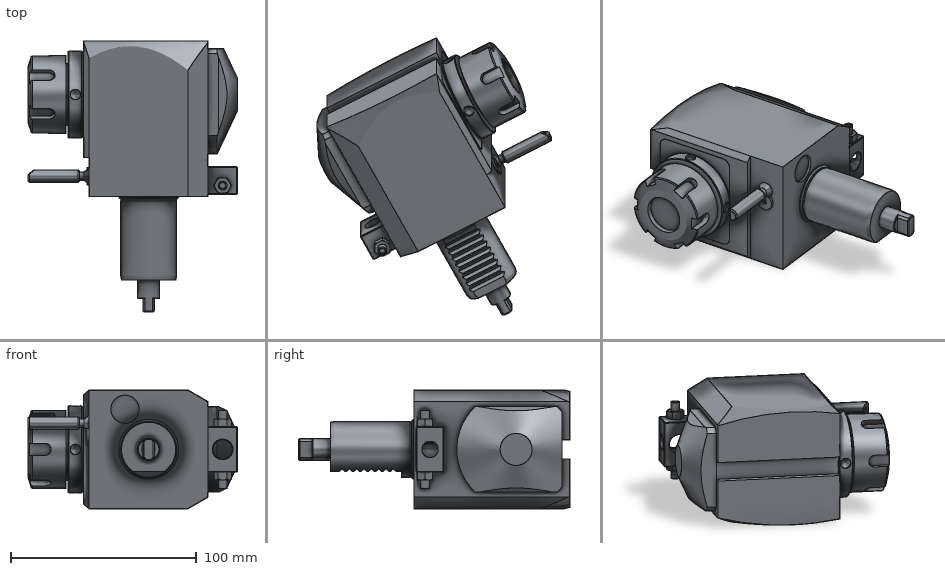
import cadquery as cq
import math


OVERALL_LENGTH = 146.0

BODY_HALF = 32.0
BODY_LENGTH = 84.0
NOSE_FACE_X = -35.0
NOSE_START_Y = 21.0
NOSE_CHAMFER_Z = 2.6
REAR_CHAMFER_X = 10.8
REAR_CHAMFER_Z = 6.3
CROWN_X = -10.0
CROWN_RADIUS = 154.8
CROWN_DROP = 0.7
CROWN_SLOPE = 0.24
BACK_SLOT_WIDTH = 10.2
BACK_SLOT_DEPTH = 4.1
PLUG_X = -12.7
PLUG_Z = 21.6
PLUG_RADIUS = 7.6
PLUG_DEPTH = 1.5

SHANK_DIAMETER = 30.1
SHANK_LENGTH = 45.0
SHANK_TIP_LENGTH = 2.2
SHANK_TIP_TAPER = 0.5
SEAL_RADIUS = 16.0
SEAL_RIM = 0.5
SEAL_LENGTH = 1.3
SEAL_GROOVE_END = 2.2
SEAL_GROOVE_DEPTH = 0.1
FLAT_Z = -11.8
FLAT_START_Y = -6.5
TOOTH_COUNT = 8
TOOTH_PITCH = 4.0
FIRST_TOOTH_Y = -11.1
TOOTH_DEPTH = 1.3
TOOTH_HALF_WIDTH = 1.6
TANG_DIAMETER = 12.0
TANG_TIP_Y = BODY_LENGTH - OVERALL_LENGTH
TANG_FLAT_START_Y = -54.9
TANG_WIDTH = 6.1
TANG_FLAT_HEIGHT = 8.6
TANG_RIDGE_WIDTH = 3.5
TANG_CHAMFER = 0.6
TANG_SHOULDER_CHAMFER = 0.5

SPINDLE_Y = 55.0
NUT_RADIUS = 21.0
NUT_FACE_X = -65.0
NUT_FACE_RADIUS = 15.0
NUT_CONE_LENGTH = 1.8
NUT_EDGE_LENGTH = 0.7
NUT_EDGE_DROP = 0.5
NUT_BACK_X = -44.5
NUT_BORE_RADIUS = 10.4
NUT_BORE_DEPTH = 2.9
NECK_RADIUS = 16.6
RING_RADIUS = 23.5
RING_FRONT_X = -43.4
RING_BACK_X = -35.8
RING_CHAMFER = 0.5
COLLAR_RADIUS = 22.9
SLOT_COUNT = 6
FIRST_SLOT_ANGLE = 90
UPPER_SLOT_ANGLES = (30, 330)
SLOT_WIDTH = 6.4
SLOT_END_X = -52.5
UPPER_SLOT_END_X = -50.5
SLOT_FLOOR_RADIUS = 17.5
RING_HOLE_COUNT = 4
RING_HOLE_X = -39.4
RING_HOLE_RADIUS = 2.8
RING_HOLE_DEPTH = 1.5
RING_HOLE_CONE = 1.6
PLATE_LENGTH = 45.1
PLATE_HEIGHT = 53.1
PLATE_CORNER = 4.4
PLATE_THICKNESS = 0.1

PIPE_Y = 11.1
PIPE_Z = 14.2
PIPE_RADIUS = 3.4
PIPE_BACK_X = -37.2
PIPE_CHAMFER = 0.7
PIPE_NECK_RADIUS = 2.3
PIPE_FLARE_X = -34.7
PIPE_FLARE_RADIUS = 4.2
PIPE_BEVEL_X = 3.4
PIPE_BEVEL_Y = 2.6
PIPE_OUTLET_RADIUS = 0.7
PIPE_OUTLET_DEPTH = 2.2
DISC_Z = 7.2
DISC_RADIUS = 4.7
DISC_HEIGHT = 1.3
DISC_HOLE_RADIUS = 1.2

COVER_RADIUS = 32.0
COVER_RIM_X = 37.0
COVER_TIP_X = 47.9
COVER_TIP_RADIUS = 8.6
COVER_HALF_HEIGHT = 23.0
COVER_TOP_Y = 79.7
COVER_BEVEL_START_X = 37.5
COVER_BEVEL_ANGLE = 26.0

BLOCK_END_X = 47.9
BLOCK_START_Y = 1.2
BLOCK_LENGTH = 15.0
BLOCK_HALF_HEIGHT = 12.3
BLOCK_CHAMFER = 0.5
BLOCK_BORE_X = 39.9
BLOCK_BORE_RADIUS = 5.3
BLOCK_BORE_CHAMFER = 0.3
BLOCK_OUTLET_RADIUS = 4.4
BLOCK_FEED_RADIUS = 1.6
NIPPLE_Y = 6.0
HEX_CORNERS = 9.5
HEX_HEIGHT = 4.1
HEX_CHAMFER = 0.5
NIPPLE_RADIUS = 2.3
NIPPLE_TOP_Z = 21.0
SOCKET_RADIUS = 1.6
SOCKET_DEPTH = 1.5

OVERCUT = 1.5
EMBED = 1.5


def box(x, y, z):
    """Box spanning the given (low, high) pairs."""
    size = [high - low for low, high in (x, y, z)]
    return cq.Workplane().box(*size, centered=False).translate((x[0], y[0], z[0]))


def turned_x(profile, y, z=0):
    """Solid turned about the line parallel to X through (y, z); profile holds (x, radius) points."""
    turned = cq.Workplane("XY").polyline(profile).close().revolve(360, (0, 0, 0), (1, 0, 0))
    return turned.translate((0, y, z))


def both_sides(solid):
    """Join a solid to its mirror image below Z = 0."""
    return solid.union(solid.mirror("XY"))


def make_body():
    chamfer_start_x = BODY_HALF - REAR_CHAMFER_X
    chamfer_z = BODY_HALF - REAR_CHAMFER_Z
    nose_z = BODY_HALF - NOSE_CHAMFER_Z
    outline = [
        (NOSE_FACE_X, -nose_z), (-BODY_HALF, -BODY_HALF), (chamfer_start_x, -BODY_HALF),
        (BODY_HALF, -chamfer_z), (BODY_HALF, chamfer_z), (chamfer_start_x, BODY_HALF),
        (-BODY_HALF, BODY_HALF), (NOSE_FACE_X, nose_z),
    ]
    body = cq.Workplane("XZ").polyline(outline).close().extrude(-BODY_LENGTH)
    body = body.cut(box((NOSE_FACE_X - OVERCUT, -BODY_HALF), (-OVERCUT, NOSE_START_Y),
                        (-BODY_HALF - OVERCUT, BODY_HALF + OVERCUT)))

    crown_center_z = BODY_HALF - CROWN_DROP - CROWN_RADIUS
    crown = cq.Workplane(cq.Solid.makeCone(
        CROWN_RADIUS + CROWN_SLOPE * BODY_LENGTH, CROWN_RADIUS, BODY_LENGTH,
        pnt=cq.Vector(CROWN_X, 0, crown_center_z), dir=cq.Vector(0, 1, 0)))
    body = body.intersect(crown).intersect(crown.mirror("XY"))

    back_slot = box((NOSE_FACE_X - OVERCUT, BODY_HALF + OVERCUT),
                    (BODY_LENGTH - BACK_SLOT_DEPTH, BODY_LENGTH + OVERCUT),
                    (-BACK_SLOT_WIDTH / 2, BACK_SLOT_WIDTH / 2))
    plug = cq.Workplane("XZ").center(PLUG_X, PLUG_Z).circle(PLUG_RADIUS).extrude(-PLUG_DEPTH)
    return body.cut(back_slot).cut(plug)


def make_shank():
    radius = SHANK_DIAMETER / 2
    profile = [
        (0, EMBED), (SEAL_RADIUS, EMBED), (SEAL_RADIUS, -SEAL_RIM),
        (radius, -SEAL_LENGTH), (radius - SEAL_GROOVE_DEPTH, -SEAL_LENGTH),
        (radius - SEAL_GROOVE_DEPTH, -SEAL_GROOVE_END), (radius, -SEAL_GROOVE_END),
        (radius, SHANK_TIP_LENGTH - SHANK_LENGTH), (radius - SHANK_TIP_TAPER, -SHANK_LENGTH),
        (0, -SHANK_LENGTH),
    ]
    shank = cq.Workplane("XY").polyline(profile).close().revolve(360, (0, 0, 0), (0, 1, 0))
    shank = shank.cut(box((-radius, radius), (-SHANK_LENGTH - OVERCUT, FLAT_START_Y),
                          (-radius - OVERCUT, FLAT_Z)))
    for index in range(TOOTH_COUNT):
        center_y = FIRST_TOOTH_Y - index * TOOTH_PITCH
        groove = [
            (center_y - TOOTH_HALF_WIDTH, FLAT_Z), (center_y, FLAT_Z + TOOTH_DEPTH),
            (center_y + TOOTH_HALF_WIDTH, FLAT_Z),
        ]
        shank = shank.cut(cq.Workplane("YZ").polyline(groove).close().extrude(radius, both=True))
    return shank


def make_tang():
    radius = TANG_DIAMETER / 2
    root_y = EMBED - SHANK_LENGTH
    side_x, ridge_x = TANG_WIDTH / 2, TANG_RIDGE_WIDTH / 2
    flat_z = TANG_FLAT_HEIGHT / 2
    outline = [
        (side_x, -flat_z), (side_x, flat_z), (ridge_x, radius), (-ridge_x, radius),
        (-side_x, flat_z), (-side_x, -flat_z), (-ridge_x, -radius), (ridge_x, -radius),
    ]
    root = cq.Workplane("XZ").workplane(offset=-root_y)
    stub = root.circle(radius).extrude(root_y - TANG_FLAT_START_Y)
    stub = stub.faces("<Y").chamfer(TANG_SHOULDER_CHAMFER)
    blade = root.polyline(outline).close().extrude(root_y - TANG_TIP_Y)
    blade = blade.faces("<Y").chamfer(TANG_CHAMFER)
    return stub.union(blade.intersect(root.circle(radius).extrude(root_y - TANG_TIP_Y)))


def make_wrench_slot(end_x):
    """Cutter for one nut slot facing +Z, with a round inner end at end_x."""
    height = NUT_RADIUS + OVERCUT - SLOT_FLOOR_RADIUS
    center_x = end_x - SLOT_WIDTH / 2
    round_end = cq.Workplane("XY").workplane(offset=SLOT_FLOOR_RADIUS).center(center_x, 0)
    return round_end.circle(SLOT_WIDTH / 2).extrude(height).union(
        box((NUT_FACE_X - OVERCUT, center_x), (-SLOT_WIDTH / 2, SLOT_WIDTH / 2),
            (SLOT_FLOOR_RADIUS, SLOT_FLOOR_RADIUS + height)))


def make_spindle():
    cone_end_x = NUT_FACE_X + NUT_CONE_LENGTH
    bore_floor_x = NUT_FACE_X + NUT_BORE_DEPTH
    spindle = turned_x([
        (bore_floor_x, 0), (bore_floor_x, NUT_BORE_RADIUS), (NUT_FACE_X, NUT_BORE_RADIUS),
        (NUT_FACE_X, NUT_FACE_RADIUS), (cone_end_x, NUT_RADIUS - NUT_EDGE_DROP),
        (cone_end_x + NUT_EDGE_LENGTH, NUT_RADIUS), (NUT_BACK_X, NUT_RADIUS),
        (NUT_BACK_X, NECK_RADIUS), (RING_FRONT_X, NECK_RADIUS),
        (RING_FRONT_X, RING_RADIUS - RING_CHAMFER), (RING_FRONT_X + RING_CHAMFER, RING_RADIUS),
        (RING_BACK_X - RING_CHAMFER, RING_RADIUS), (RING_BACK_X, RING_RADIUS - RING_CHAMFER),
        (RING_BACK_X, COLLAR_RADIUS), (NOSE_FACE_X + EMBED, COLLAR_RADIUS), (NOSE_FACE_X + EMBED, 0),
    ], SPINDLE_Y)

    for index in range(SLOT_COUNT):
        angle = (FIRST_SLOT_ANGLE + index * 360 / SLOT_COUNT) % 360
        slot = make_wrench_slot(UPPER_SLOT_END_X if angle in UPPER_SLOT_ANGLES else SLOT_END_X)
        spindle = spindle.cut(slot.rotate((0, 0, 0), (1, 0, 0), angle).translate((0, SPINDLE_Y, 0)))

    hole_floor = RING_RADIUS - RING_HOLE_DEPTH
    hole_profile = [
        (0, hole_floor - RING_HOLE_CONE), (RING_HOLE_RADIUS, hole_floor),
        (RING_HOLE_RADIUS, RING_RADIUS + OVERCUT), (0, RING_RADIUS + OVERCUT),
    ]
    hole = cq.Workplane("XZ").polyline(hole_profile).close().revolve(360, (0, 0, 0), (0, 1, 0))
    hole = hole.translate((RING_HOLE_X, 0, 0))
    for index in range(RING_HOLE_COUNT):
        angle = index * 360 / RING_HOLE_COUNT
        spindle = spindle.cut(hole.rotate((0, 0, 0), (1, 0, 0), angle).translate((0, SPINDLE_Y, 0)))
    return spindle


def make_nose_plate():
    plate = box((NOSE_FACE_X - PLATE_THICKNESS, NOSE_FACE_X + EMBED),
                (SPINDLE_Y - PLATE_LENGTH / 2, SPINDLE_Y + PLATE_LENGTH / 2),
                (-PLATE_HEIGHT / 2, PLATE_HEIGHT / 2))
    return plate.edges("|X").fillet(PLATE_CORNER)


def make_pipe():
    pipe = turned_x([
        (NUT_FACE_X, 0), (NUT_FACE_X, PIPE_RADIUS - PIPE_CHAMFER),
        (NUT_FACE_X + PIPE_CHAMFER, PIPE_RADIUS), (PIPE_BACK_X - PIPE_CHAMFER, PIPE_RADIUS),
        (PIPE_BACK_X, PIPE_RADIUS - PIPE_CHAMFER), (PIPE_BACK_X, PIPE_NECK_RADIUS),
        (PIPE_FLARE_X, PIPE_NECK_RADIUS), (-BODY_HALF, PIPE_FLARE_RADIUS),
        (EMBED - BODY_HALF, PIPE_FLARE_RADIUS), (EMBED - BODY_HALF, 0),
    ], PIPE_Y, PIPE_Z)
    edge_y = PIPE_Y + PIPE_RADIUS
    bevel = [(NUT_FACE_X, edge_y), (NUT_FACE_X, edge_y - PIPE_BEVEL_Y), (NUT_FACE_X + PIPE_BEVEL_X, edge_y)]
    bevel_cut = (
        cq.Workplane("XY").workplane(offset=PIPE_Z).polyline(bevel).close().extrude(PIPE_RADIUS, both=True)
    )
    inward = cq.Vector(PIPE_BEVEL_Y, -PIPE_BEVEL_X, 0)
    bevel_middle = cq.Vector(NUT_FACE_X + PIPE_BEVEL_X / 2, edge_y - PIPE_BEVEL_Y / 2, PIPE_Z)
    outlet = cq.Solid.makeCylinder(PIPE_OUTLET_RADIUS, PIPE_OUTLET_DEPTH, bevel_middle, inward)
    return pipe.cut(bevel_cut).cut(cq.Workplane(outlet))


def make_nozzle_disc():
    return (
        cq.Workplane("YZ").workplane(offset=-BODY_HALF - DISC_HEIGHT)
        .center(PIPE_Y, DISC_Z).circle(DISC_RADIUS).circle(DISC_HOLE_RADIUS).extrude(DISC_HEIGHT + EMBED)
    )


def make_cover():
    root_x = BODY_HALF - EMBED
    cover = turned_x([
        (root_x, 0), (root_x, COVER_RADIUS), (COVER_RIM_X, COVER_RADIUS),
        (COVER_TIP_X, COVER_TIP_RADIUS), (COVER_TIP_X, 0),
    ], SPINDLE_Y)
    bevel_drop = (COVER_TIP_X - COVER_BEVEL_START_X) * math.tan(math.radians(COVER_BEVEL_ANGLE))
    tip_z = COVER_HALF_HEIGHT - bevel_drop
    outline = [
        (root_x, -COVER_HALF_HEIGHT), (COVER_BEVEL_START_X, -COVER_HALF_HEIGHT), (COVER_TIP_X, -tip_z),
        (COVER_TIP_X, tip_z), (COVER_BEVEL_START_X, COVER_HALF_HEIGHT), (root_x, COVER_HALF_HEIGHT),
    ]
    return cover.intersect(cq.Workplane("XZ").polyline(outline).close().extrude(-COVER_TOP_Y))


def make_coolant_block():
    block = box((BODY_HALF - EMBED, BLOCK_END_X), (BLOCK_START_Y, BLOCK_START_Y + BLOCK_LENGTH),
                (-BLOCK_HALF_HEIGHT, BLOCK_HALF_HEIGHT))
    block = block.faces("not <X").edges("not <X").chamfer(BLOCK_CHAMFER)
    bore = cq.Workplane("XZ").center(BLOCK_BORE_X, 0).circle(BLOCK_BORE_RADIUS)
    block = block.cut(bore.extrude(-BLOCK_START_Y - BLOCK_LENGTH - OVERCUT))
    block = block.faces("<Y").edges("%CIRCLE").chamfer(BLOCK_BORE_CHAMFER)
    outlet = cq.Workplane("YZ").workplane(offset=BLOCK_BORE_X).center(BLOCK_START_Y + BLOCK_LENGTH / 2, 0)
    block = block.cut(outlet.circle(BLOCK_OUTLET_RADIUS).extrude(BLOCK_END_X - BLOCK_BORE_X + OVERCUT))
    feed = cq.Workplane("XY").center(BLOCK_BORE_X, NIPPLE_Y).circle(BLOCK_FEED_RADIUS)
    block = block.cut(feed.extrude(BLOCK_HALF_HEIGHT - EMBED, both=True))

    nipple_base = (
        cq.Workplane("XY").workplane(offset=BLOCK_HALF_HEIGHT - EMBED).center(BLOCK_BORE_X, NIPPLE_Y)
    )
    hex_blank = nipple_base.circle(HEX_CORNERS / 2).extrude(HEX_HEIGHT + EMBED)
    hex_blank = hex_blank.faces(">Z").chamfer(HEX_CHAMFER)
    nipple = (
        nipple_base.polygon(6, HEX_CORNERS).extrude(HEX_HEIGHT + EMBED).intersect(hex_blank)
        .union(nipple_base.circle(NIPPLE_RADIUS).extrude(NIPPLE_TOP_Z - BLOCK_HALF_HEIGHT + EMBED))
        .faces(">Z").workplane(origin=(BLOCK_BORE_X, NIPPLE_Y)).hole(2 * SOCKET_RADIUS, SOCKET_DEPTH)
    )
    return block.union(both_sides(nipple))


result = make_body()
for feature in (make_shank(), make_tang(), make_spindle(), make_nose_plate(), make_pipe(),
                make_nozzle_disc(), make_cover(), make_coolant_block()):
    result = result.union(feature)